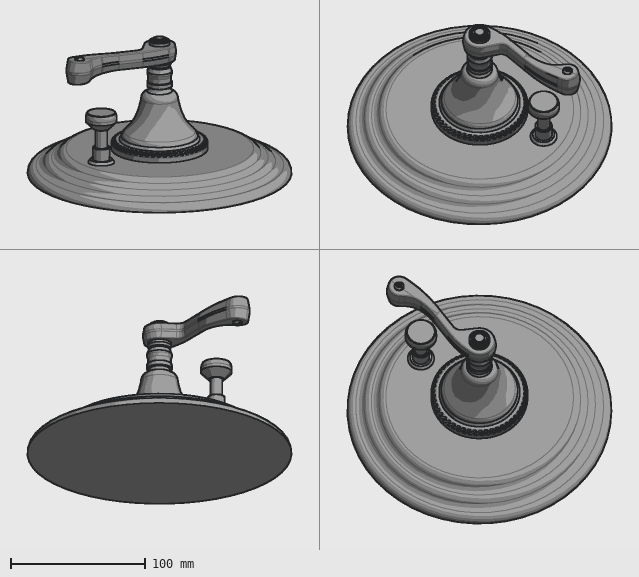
import cadquery as cq
import math

PLATE_RADIUS = 98.5
PLATE_HEIGHT = 19.0
LOW_LIP_HEIGHT = 6.1
MID_LIP_RADIUS = 80.7
MID_LIP_HEIGHT = 12.4
FACE_RADIUS = 69.9

RING_RADIUS = 36.0
RING_TOP = 26.4
RING_SHOULDER = 3.3
STRAND_COUNT = 50
STRAND_ANGLE = 40.0
GROOVE_LENGTH = 6.3
GROOVE_WIDTH = 1.5
GROOVE_DEPTH = 0.69

BELL_FOOT_RADIUS = 30.1
BEAD_RADIUS = 9.35
WAIST_RADIUS = 8.7
COLLAR_RADIUS = 8.9

LEVER_MID = 94.59
LEVER_HALF_HEIGHT = 6.2
LEVER_END_HALF_HEIGHT = 9.5
LEVER_FLARE_START = 39.4
LEVER_FLARE_MIDDLE = 59.8
LEVER_FLARE_RISE = 1.2
LEVER_BAND = 1.8
LEVER_DRAFT = 10.0
LEVER_EDGE_ROUND = 0.8
HUB_RADIUS = 12.4
TIP_X = -0.5
TIP_Y = -75.5
TIP_RADIUS = 9.5
TIP_LEAVE_ANGLE = 35.0
ARM_LEAN = 18.0
ARM_LEFT_X = 2.0
ARM_RIGHT_X = 1.0
ARM_BEND_Y = -47.2
HUB_LEFT_BEND = 6.0
TIP_LEFT_BEND = 98.5
TIP_RIGHT_BEND = 19.7
ARM_RIGHT_BEND = 43.3
HUB_RIGHT_BEND = 68.9

SCREW_Y = -75.4
SCREW_RADIUS = 3.5
SCREW_TOP_RADIUS = 2.0
SCREW_HALF_LENGTH = 10.6
SCREW_DOME = 1.8
SLOT_WIDTH = 1.0
SLOT_DEPTH = 1.0

CAP_RADIUS = 7.7
CAP_TOP = 105.5

KNOB_Y = -55.0
KNOB_RADIUS = 11.6
KNOB_TOP = 57.9
STEM_RADIUS = 4.5
SLEEVE_RADIUS = 6.3


def revolve(profile):
    """Turn a radius-height profile about the Z axis."""
    return profile.close().revolve(360, (0, 0, 0), (0, 1, 0))


def make_plate():
    rim_lean = LOW_LIP_HEIGHT * math.sqrt(0.5)
    low_lip_radius = PLATE_RADIUS - LOW_LIP_HEIGHT
    profile = (
        cq.Workplane("XZ")
        .lineTo(PLATE_RADIUS, 0)
        .threePointArc((low_lip_radius + rim_lean, rim_lean), (low_lip_radius, LOW_LIP_HEIGHT))
        .tangentArcPoint((86.2, 9.3), relative=False)
        .tangentArcPoint((MID_LIP_RADIUS, MID_LIP_HEIGHT), relative=False)
        .tangentArcPoint((75.2, 15.7), relative=False)
        .tangentArcPoint((FACE_RADIUS, PLATE_HEIGHT), relative=False)
        .lineTo(0, PLATE_HEIGHT)
    )
    return revolve(profile)


def make_rope_ring():
    ring = (
        cq.Workplane("XY")
        .circle(RING_RADIUS)
        .extrude(RING_TOP)
        .faces(">Z")
        .edges()
        .fillet(RING_SHOULDER)
    )
    lean = math.sqrt(0.5)
    shoulder_inset = RING_SHOULDER * (1 - lean)
    slant = math.radians(STRAND_ANGLE)
    plane = cq.Plane(
        origin=(RING_RADIUS - shoulder_inset, 0, RING_TOP - shoulder_inset),
        xDir=(math.sin(slant) * lean, -math.cos(slant), -math.sin(slant) * lean),
        normal=(1, 0, 1),
    )
    groove = cq.Workplane(plane).box(GROOVE_LENGTH, GROOVE_WIDTH, 2 * GROOVE_DEPTH).val()
    grooves = [
        groove.rotate((0, 0, 0), (0, 0, 1), 360 * index / STRAND_COUNT)
        for index in range(STRAND_COUNT)
    ]
    return ring.cut(cq.Workplane(cq.Compound.makeCompound(grooves)))


def make_bell_and_post():
    profile = (
        cq.Workplane("XZ")
        .lineTo(BELL_FOOT_RADIUS, 0)
        .lineTo(BELL_FOOT_RADIUS, RING_TOP)
        .lineTo(28.5, 28.7)
        .threePointArc((28.0, 30.7), (26.5, 32.5))
        .spline([(19.9, 40.4), (16.3, 48.0), (13.88, 58.0)], includeCurrent=True)
        .threePointArc((13.0, 61.2), (9.5, 64.0))
        .threePointArc((8.3, 65.5), (7.9, 67.5))
        .lineTo(BEAD_RADIUS, 68.0)
        .lineTo(BEAD_RADIUS, 71.3)
        .lineTo(WAIST_RADIUS, 71.7)
        .lineTo(WAIST_RADIUS, 75.5)
        .lineTo(BEAD_RADIUS, 78.1)
        .lineTo(BEAD_RADIUS, 79.5)
        .lineTo(8.0, 83.0)
        .lineTo(8.0, 84.3)
        .lineTo(COLLAR_RADIUS, 86.5)
        .lineTo(COLLAR_RADIUS, LEVER_MID)
        .lineTo(0, LEVER_MID)
    )
    return revolve(profile)


def round_corner(path, before, corner, after, radius):
    """Continue a path past a corner, replacing the corner with a tangent arc."""
    heading_in = math.atan2(corner[1] - before[1], corner[0] - before[0])
    heading_out = math.atan2(after[1] - corner[1], after[0] - corner[0])
    setback = radius * math.tan(abs(heading_out - heading_in) / 2)
    arc_start = (corner[0] - setback * math.cos(heading_in), corner[1] - setback * math.sin(heading_in))
    arc_end = (corner[0] + setback * math.cos(heading_out), corner[1] + setback * math.sin(heading_out))
    return path.lineTo(*arc_start).tangentArcPoint(arc_end, relative=False)


def make_lever_outline(height):
    """S-shaped plan of the lever: hub arc, two bent edges and tip arc, all tangent."""
    tip_left = (TIP_X - TIP_RADIUS, TIP_Y)
    tip_bottom = (TIP_X, TIP_Y - TIP_RADIUS)
    tip_leave = math.radians(TIP_LEAVE_ANGLE)
    tip_right = (TIP_X + TIP_RADIUS * math.cos(tip_leave), TIP_Y + TIP_RADIUS * math.sin(tip_leave))
    lean = math.tan(math.radians(ARM_LEAN))

    hub_diagonal = HUB_RADIUS * math.sqrt(0.5)
    hub_right = (HUB_RADIUS, 0)
    hub_left = (-hub_diagonal, -hub_diagonal)
    left_upper = (ARM_LEFT_X, -2 * hub_diagonal - ARM_LEFT_X)
    left_lower = (tip_left[0], left_upper[1] - (ARM_LEFT_X - tip_left[0]) / lean)

    right_run = tip_right[0] - ARM_RIGHT_X
    right_lower = (ARM_RIGHT_X, tip_right[1] + right_run / math.tan(tip_leave))
    right_middle = (ARM_RIGHT_X, ARM_BEND_Y)
    right_upper = (HUB_RADIUS, ARM_BEND_Y + (HUB_RADIUS - ARM_RIGHT_X) / lean)

    path = cq.Workplane("XY", origin=(0, 0, height)).moveTo(*hub_right)
    path = path.threePointArc((-hub_diagonal, hub_diagonal), hub_left)
    path = round_corner(path, hub_left, left_upper, left_lower, HUB_LEFT_BEND)
    path = round_corner(path, left_upper, left_lower, tip_left, TIP_LEFT_BEND)
    path = path.lineTo(*tip_left).threePointArc(tip_bottom, tip_right)
    path = round_corner(path, tip_right, right_lower, right_middle, TIP_RIGHT_BEND)
    path = round_corner(path, right_lower, right_middle, right_upper, ARM_RIGHT_BEND)
    path = round_corner(path, right_middle, right_upper, hub_right, HUB_RIGHT_BEND)
    return path.close()


def make_lever():
    upper_base = LEVER_MID + LEVER_BAND / 2
    half_band = make_lever_outline(LEVER_MID).extrude(LEVER_BAND / 2)
    drafted = make_lever_outline(upper_base).extrude(LEVER_END_HALF_HEIGHT, taper=LEVER_DRAFT)
    blank = half_band.union(drafted)

    tip_end = TIP_Y - TIP_RADIUS
    top = LEVER_MID + LEVER_HALF_HEIGHT
    envelope = (
        cq.Workplane("YZ")
        .moveTo(2 * HUB_RADIUS, LEVER_MID)
        .lineTo(2 * HUB_RADIUS, top)
        .lineTo(-LEVER_FLARE_START, top)
        .spline(
            [(-LEVER_FLARE_MIDDLE, top + LEVER_FLARE_RISE), (tip_end, LEVER_MID + LEVER_END_HALF_HEIGHT)],
            tangents=[(-1, 0), (-1, 0.12)],
            includeCurrent=True,
        )
        .lineTo(tip_end, LEVER_MID)
        .close()
        .extrude(2 * HUB_RADIUS, both=True)
    )
    upper = blank.intersect(envelope)

    reach = PLATE_RADIUS
    upper_faces = cq.selectors.BoxSelector((-reach, -reach, 98.5), (reach, reach, CAP_TOP))
    upper = upper.faces(upper_faces).edges().fillet(LEVER_EDGE_ROUND)
    return upper.union(upper.mirror("XY", (0, 0, LEVER_MID)))


def make_screw():
    profile = (
        cq.Workplane("XZ")
        .lineTo(SCREW_RADIUS, 0)
        .lineTo(SCREW_RADIUS, SCREW_HALF_LENGTH - SCREW_DOME)
        .lineTo(SCREW_TOP_RADIUS, SCREW_HALF_LENGTH)
        .lineTo(0, SCREW_HALF_LENGTH)
    )
    slot = cq.Workplane("XY", origin=(0, 0, SCREW_HALF_LENGTH)).box(
        SLOT_WIDTH, 2 * SCREW_RADIUS, 2 * SLOT_DEPTH
    )
    half = revolve(profile).cut(slot)
    return half.union(half.mirror("XY")).translate((0, SCREW_Y, LEVER_MID))


def make_cap():
    cap_height = CAP_TOP - LEVER_MID
    profile = (
        cq.Workplane("XZ", origin=(0, 0, LEVER_MID))
        .lineTo(CAP_RADIUS, 0)
        .lineTo(CAP_RADIUS, 8.5)
        .lineTo(7.0, 9.0)
        .lineTo(5.7, 9.0)
        .lineTo(5.5, 10.0)
        .lineTo(4.1, 10.0)
        .lineTo(3.7, cap_height)
        .lineTo(0, cap_height)
    )
    return revolve(profile)


def make_diverter():
    profile = (
        cq.Workplane("XZ")
        .lineTo(9.8, 0)
        .lineTo(9.8, PLATE_HEIGHT)
        .lineTo(8.0, 21.3)
        .lineTo(SLEEVE_RADIUS, 21.3)
        .lineTo(SLEEVE_RADIUS, 30.5)
        .lineTo(6.0, 31.0)
        .lineTo(STEM_RADIUS, 31.0)
        .lineTo(STEM_RADIUS, 45.0)
        .lineTo(5.7, 45.0)
        .lineTo(KNOB_RADIUS, 51.0)
        .lineTo(KNOB_RADIUS, 53.7)
        .threePointArc((11.5, 55.7), (10.6, 57.5))
        .lineTo(10.2, KNOB_TOP)
        .lineTo(0, KNOB_TOP)
    )
    return revolve(profile).translate((0, KNOB_Y, 0))


result = (
    make_plate()
    .union(make_rope_ring())
    .union(make_bell_and_post())
    .union(make_lever())
    .union(make_screw())
    .union(make_cap())
    .union(make_diverter())
)